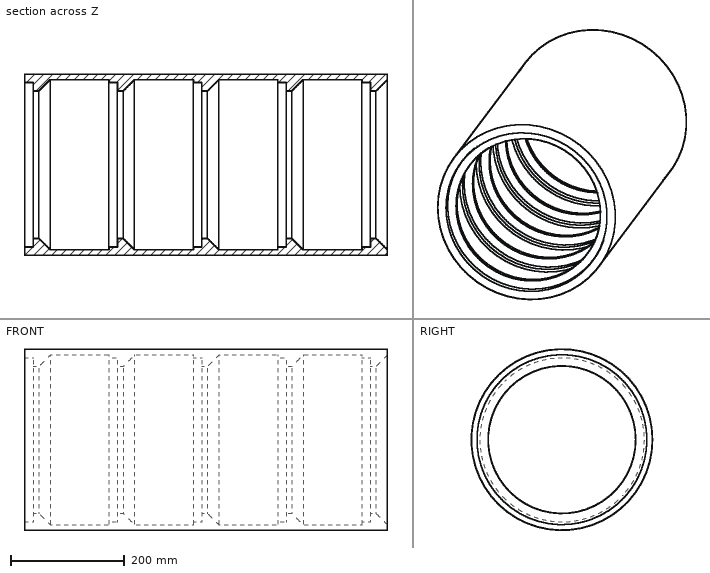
import cadquery as cq

LENGTH = 640.0
OUTER_RADIUS = 160.0
TUBE_BORE_RADIUS = 150.0

RING_COUNT = 5
RECESS_RADIUS = 145.0
RECESS_DEPTH = 15.0
LAND_RADIUS = 130.0
LAND_LENGTH = 10.0

FLARE_LENGTH = TUBE_BORE_RADIUS - LAND_RADIUS
RING_LENGTH = RECESS_DEPTH + LAND_LENGTH + FLARE_LENGTH
RING_PITCH = (LENGTH - RING_LENGTH) / (RING_COUNT - 1)
START_X = -LENGTH / 2


def tube():
    """Plain tube along X, centred on the origin."""
    section = cq.Workplane("YZ", origin=(START_X, 0, 0))
    return section.circle(OUTER_RADIUS).circle(TUBE_BORE_RADIUS).extrude(LENGTH)


def ring(front):
    """Inner ring from X = front: recessed seat, narrow land, then a flare out to the tube bore.

    The section reaches the outer radius so that it overlaps the tube wall.
    """
    land_start = front + RECESS_DEPTH
    land_end = land_start + LAND_LENGTH
    back = front + RING_LENGTH
    section = (
        cq.Workplane("XY")
        .moveTo(front, OUTER_RADIUS)
        .lineTo(front, RECESS_RADIUS)
        .lineTo(land_start, RECESS_RADIUS)
        .lineTo(land_start, LAND_RADIUS)
        .lineTo(land_end, LAND_RADIUS)
        .lineTo(back, TUBE_BORE_RADIUS)
        .lineTo(back, OUTER_RADIUS)
        .close()
    )
    return section.revolve(360, (0, 0, 0), (1, 0, 0))


result = tube()
for index in range(RING_COUNT):
    result = result.union(ring(START_X + index * RING_PITCH))
result = result.clean()